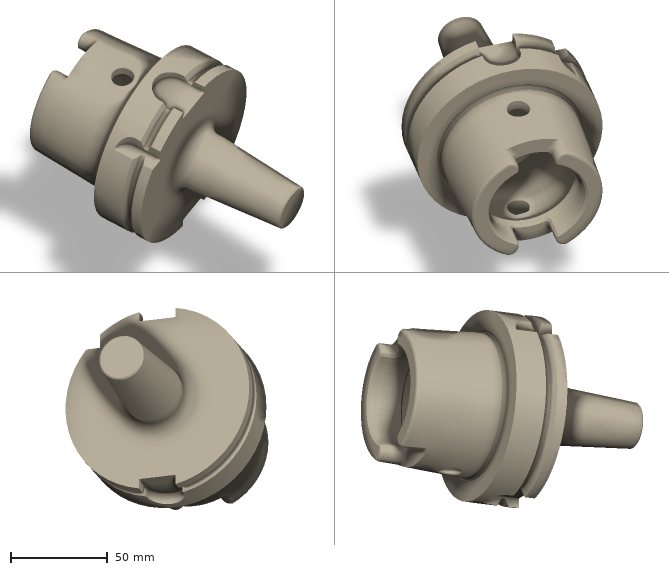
import cadquery as cq
import math


SHANK_LENGTH = 50.0
FLANGE_WIDTH = 29.0
TOTAL_LENGTH = 140.0
SHANK_END = -SHANK_LENGTH
NOSE_END = TOTAL_LENGTH - SHANK_LENGTH

FLANGE_RADIUS = 50.0
GROOVE_RADIUS = 46.0
GROOVE_START = 16.8
GROOVE_END = 23.2
GROOVE_FLANK_DEPTH = 2.5
GROOVE_FLANK_SLOPE = math.radians(30)
GROOVE_NECK_INSET = 0.5

NOSE_ROOT_RADIUS = 16.0
NOSE_TIP_RADIUS = 12.0
NOSE_ROOT_FILLET = 6.0
NOSE_TAPER_START = FLANGE_WIDTH + 10.1
NOSE_CHAMFER = 0.7

SHANK_TIP_RADIUS = 35.3
SHANK_ROOT_RADIUS = 38.0
SHANK_END_FILLET = 1.7
RELIEF_RADIUS = 37.5
RELIEF_LENGTH = 2.7
RELIEF_LEAD = 0.8
RELIEF_DEPTH = 0.5
RELIEF_FILLET = 1.4

MOUTH_CHAMFER = 1.1
LIP_RADIUS = 26.0
LIP_LENGTH = 19.0
UNDERCUT_RADIUS = 31.5
UNDERCUT_SLOPE = math.radians(30)
UNDERCUT_END = SHANK_END + 40.5
FLOOR_FILLET = 6.9
BORE_FLOOR = UNDERCUT_END + FLOOR_FILLET
TUBE_BORE_RADIUS = 11.2
TUBE_BORE_CHAMFER = 1.1
TUBE_BORE_DEPTH = 8.4

NOTCH_HALF_WIDTH = 10.0
NOTCH_CORNER_RADIUS = 5.0
NOTCH_SHOULDER = 31.6
NOTCH_INNER = 16.8
UPPER_NOTCH_DEPTH = 10.0
LOWER_NOTCH_DEPTH = 14.7
NOTCH_FLOOR_FILLET = 2.1

HOLE_X = -15.0
HOLE_RADIUS = 5.9
HOLE_CHAMFER = 0.5

KEYWAY_RADIUS = 10.0
KEYWAY_START = 5.2
KEYWAY_FLOOR = 43.8
CORNER_NOTCH_RADIUS = 8.0
CORNER_NOTCH_START = 5.2
CORNER_NOTCH_WALL = -31.2
CORNER_NOTCH_FLOOR = 31.6
POCKET_FILLET = 0.5

CUT_MARGIN = 7.0
TOLERANCE = 0.07


def make_body():
    """Solid of revolution with the flange, shank and nose."""
    flank_run = GROOVE_FLANK_DEPTH * math.tan(GROOVE_FLANK_SLOPE)
    floor_inset = flank_run + GROOVE_NECK_INSET
    flank_radius = FLANGE_RADIUS - GROOVE_FLANK_DEPTH
    arc_45 = RELIEF_FILLET * math.sqrt(0.5)
    relief_x = RELIEF_DEPTH - RELIEF_FILLET
    relief_outer = RELIEF_RADIUS + RELIEF_FILLET
    root_x = FLANGE_WIDTH + NOSE_ROOT_FILLET
    root_r = NOSE_ROOT_RADIUS + NOSE_ROOT_FILLET
    root_45 = NOSE_ROOT_FILLET * math.sqrt(0.5)
    profile = (
        cq.Workplane("XY")
        .moveTo(SHANK_END, 0)
        .lineTo(SHANK_END, SHANK_TIP_RADIUS)
        .lineTo(-RELIEF_LENGTH, SHANK_ROOT_RADIUS)
        .lineTo(-RELIEF_LENGTH + RELIEF_LEAD, RELIEF_RADIUS)
        .lineTo(relief_x, RELIEF_RADIUS)
        .threePointArc(
            (relief_x + arc_45, relief_outer - arc_45),
            (RELIEF_DEPTH, relief_outer),
        )
        .lineTo(0, relief_outer + RELIEF_DEPTH)
        .lineTo(0, FLANGE_RADIUS)
        .lineTo(GROOVE_START, FLANGE_RADIUS)
        .lineTo(GROOVE_START + flank_run, flank_radius)
        .lineTo(GROOVE_START + floor_inset, GROOVE_RADIUS)
        .lineTo(GROOVE_END - floor_inset, GROOVE_RADIUS)
        .lineTo(GROOVE_END - flank_run, flank_radius)
        .lineTo(GROOVE_END, FLANGE_RADIUS)
        .lineTo(FLANGE_WIDTH, FLANGE_RADIUS)
        .lineTo(FLANGE_WIDTH, root_r)
        .threePointArc((root_x - root_45, root_r - root_45), (root_x, NOSE_ROOT_RADIUS))
        .lineTo(NOSE_TAPER_START, NOSE_ROOT_RADIUS)
        .lineTo(NOSE_END, NOSE_TIP_RADIUS)
        .lineTo(NOSE_END, 0)
        .close()
    )
    body = profile.revolve(360, (0, 0, 0), (1, 0, 0))
    body = body.faces("<X").edges().fillet(SHANK_END_FILLET)
    return body.faces(">X").edges().chamfer(NOSE_CHAMFER)


def make_bore():
    """Clamping bore as a solid of revolution."""
    lip_end = SHANK_END + LIP_LENGTH
    undercut_rise = UNDERCUT_RADIUS - LIP_RADIUS
    tube_entry_radius = TUBE_BORE_RADIUS + TUBE_BORE_CHAMFER
    floor_45 = FLOOR_FILLET * math.sqrt(0.5)
    floor_radius = UNDERCUT_RADIUS - FLOOR_FILLET
    profile = (
        cq.Workplane("XY")
        .moveTo(SHANK_END, 0)
        .lineTo(SHANK_END, LIP_RADIUS)
        .lineTo(lip_end, LIP_RADIUS)
        .lineTo(lip_end + undercut_rise * math.tan(UNDERCUT_SLOPE), UNDERCUT_RADIUS)
        .lineTo(UNDERCUT_END, UNDERCUT_RADIUS)
        .threePointArc(
            (UNDERCUT_END + floor_45, floor_radius + floor_45),
            (BORE_FLOOR, floor_radius),
        )
        .lineTo(BORE_FLOOR, tube_entry_radius)
        .lineTo(BORE_FLOOR + TUBE_BORE_CHAMFER, TUBE_BORE_RADIUS)
        .lineTo(BORE_FLOOR + TUBE_BORE_DEPTH, TUBE_BORE_RADIUS)
        .lineTo(BORE_FLOOR + TUBE_BORE_DEPTH, 0)
        .close()
    )
    return profile.revolve(360, (0, 0, 0), (1, 0, 0))


def make_drive_notch(depth):
    """Upper drive notch, rounded at its floor and flared where it meets the end face."""
    corner_z = NOTCH_SHOULDER - NOTCH_CORNER_RADIUS
    flare = NOTCH_HALF_WIDTH + NOTCH_CORNER_RADIUS
    arc_45 = NOTCH_CORNER_RADIUS * math.sqrt(0.5)
    outer = FLANGE_RADIUS
    notch = (
        cq.Workplane("YZ", origin=(SHANK_END, 0, 0))
        .moveTo(-NOTCH_HALF_WIDTH, NOTCH_INNER)
        .lineTo(NOTCH_HALF_WIDTH, NOTCH_INNER)
        .lineTo(NOTCH_HALF_WIDTH, corner_z)
        .threePointArc((flare - arc_45, corner_z + arc_45), (flare, NOTCH_SHOULDER))
        .lineTo(outer, NOTCH_SHOULDER)
        .lineTo(outer, outer)
        .lineTo(-outer, outer)
        .lineTo(-outer, NOTCH_SHOULDER)
        .lineTo(-flare, NOTCH_SHOULDER)
        .threePointArc((arc_45 - flare, corner_z + arc_45), (-NOTCH_HALF_WIDTH, corner_z))
        .close()
        .extrude(depth)
    )
    clearance = (
        cq.Workplane("XY")
        .box(CUT_MARGIN, 2 * outer, outer - NOTCH_INNER, centered=(False, True, False))
        .translate((SHANK_END - CUT_MARGIN, 0, NOTCH_INNER))
    )
    tool = notch.union(clearance)

    def wall_edges(x):
        return cq.selectors.BoxSelector(
            (x - TOLERANCE, TOLERANCE - outer, NOTCH_INNER + TOLERANCE),
            (x + TOLERANCE, outer - TOLERANCE, NOTCH_SHOULDER + TOLERANCE),
        )

    tool = tool.edges(wall_edges(SHANK_END)).fillet(SHANK_END_FILLET)
    return tool.edges(wall_edges(SHANK_END + depth)).fillet(NOTCH_FLOOR_FILLET)


def make_hole():
    """Radial hole along Z through both walls."""
    return (
        cq.Workplane("XY", origin=(HOLE_X, 0, -FLANGE_RADIUS))
        .circle(HOLE_RADIUS)
        .extrude(2 * FLANGE_RADIUS)
    )


def make_keyway():
    """Round-ended keyway on the +Z side of the flange, open toward the nose."""
    centre = KEYWAY_START + KEYWAY_RADIUS
    end = FLANGE_WIDTH + CUT_MARGIN
    return (
        cq.Workplane("XY", origin=(0, 0, KEYWAY_FLOOR))
        .moveTo(end, KEYWAY_RADIUS)
        .lineTo(centre, KEYWAY_RADIUS)
        .threePointArc((KEYWAY_START, 0), (centre, -KEYWAY_RADIUS))
        .lineTo(end, -KEYWAY_RADIUS)
        .close()
        .extrude(CUT_MARGIN + FLANGE_RADIUS - KEYWAY_FLOOR)
        .faces("<Z")
        .edges()
        .fillet(POCKET_FILLET)
    )


def make_corner_notch():
    """Right-angled notch at the -Y +Z corner of the flange, open toward the nose."""
    centre_x = CORNER_NOTCH_START + CORNER_NOTCH_RADIUS
    centre_y = CORNER_NOTCH_WALL - CORNER_NOTCH_RADIUS
    end = FLANGE_WIDTH + CUT_MARGIN
    outer = -FLANGE_RADIUS
    arc_45 = CORNER_NOTCH_RADIUS * math.sqrt(0.5)
    return (
        cq.Workplane("XY", origin=(0, 0, CORNER_NOTCH_FLOOR))
        .moveTo(end, CORNER_NOTCH_WALL)
        .lineTo(centre_x, CORNER_NOTCH_WALL)
        .threePointArc((centre_x - arc_45, centre_y + arc_45), (CORNER_NOTCH_START, centre_y))
        .lineTo(CORNER_NOTCH_START, outer)
        .lineTo(end, outer)
        .close()
        .extrude(FLANGE_RADIUS - CORNER_NOTCH_FLOOR)
        .faces("<Z")
        .edges()
        .fillet(POCKET_FILLET)
    )


def turned_over(tool):
    """Copy of a +Z cutting tool moved to the -Z side."""
    return tool.rotate((0, 0, 0), (1, 0, 0), 180)


def chamfer_mouth(part):
    """Chamfer the free rim of the lip bore, around the end face and the drive notches."""
    lip_end = SHANK_END + LIP_LENGTH

    def on_rim(edge):
        points = [edge.positionAt(t) for t in (0.0, 0.5, 1.0)]
        on_lip = all(abs(math.hypot(p.y, p.z) - LIP_RADIUS) < TOLERANCE for p in points)
        is_seam = abs(edge.Center().z) < TOLERANCE and edge.geomType() == "LINE"
        return on_lip and edge.Center().x < lip_end - TOLERANCE and not is_seam

    rim = [edge for edge in part.edges().vals() if on_rim(edge)]
    return part.newObject(rim).chamfer(MOUTH_CHAMFER)


def chamfer_hole(part):
    """Chamfer the outer rims of the radial hole on both sides of the shank."""
    reach = HOLE_RADIUS + TOLERANCE

    def on_rim(edge):
        box = edge.BoundingBox()
        over_hole = abs(box.center.x - HOLE_X) < TOLERANCE and box.ymax < reach and box.ymin > -reach
        return over_hole and abs(box.center.z) > SHANK_TIP_RADIUS

    rims = [edge for edge in part.edges("not %LINE").vals() if on_rim(edge)]
    return part.newObject(rims).chamfer(HOLE_CHAMFER)


result = make_body().cut(make_bore())
result = result.cut(make_drive_notch(UPPER_NOTCH_DEPTH))
result = result.cut(turned_over(make_drive_notch(LOWER_NOTCH_DEPTH)))
result = chamfer_mouth(result)
result = chamfer_hole(result.cut(make_hole()))
result = result.cut(make_keyway()).cut(turned_over(make_keyway()))
result = result.cut(make_corner_notch())